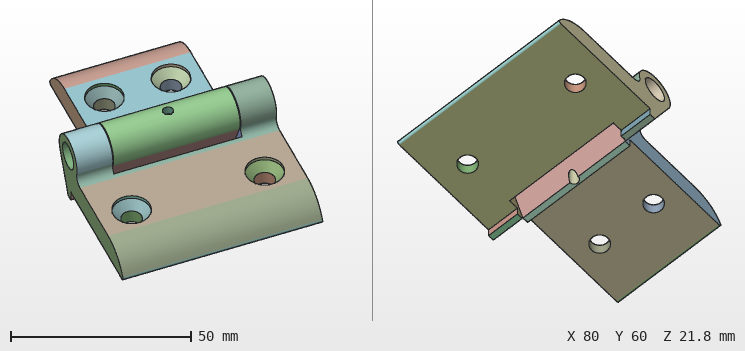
import cadquery as cq
import math

half_span = 40.0
plate_thickness = 7.7
edge_arc_radius = 12.0
nose_radius = 0.8
lug_half_width = 2.0
lug_depth = 3.0

barrel_radius = 6.5
barrel_axis_height = 12.3
bore_diameter = 8.0
neck_fillet_radius = 2.5
oil_hole_diameter = 3.0

wide_leaf_length = 60.0
narrow_leaf_length = 38.0
end_gap = 0.25

recess_wall_x = 5.25
recess_wall_tilt = 15.0

screw_diameter = 6.0
head_diameter = 11.0
head_rim_depth = 1.0
cone_depth = (head_diameter - screw_diameter) / 2
screw_x = 22.0
wide_leaf_screw_y = 20.0
narrow_leaf_screw_y = 10.0

barrel_top = barrel_axis_height + barrel_radius


def point_on_arc(center, radius, angle):
    """Point at the given angle (radians from +X towards +Z) on an arc."""
    return (
        center[0] + radius * math.cos(angle),
        center[1] + radius * math.sin(angle),
    )


def leaf_body(length):
    """Leaf extending to +X with a full-length barrel, centred on y = 0."""
    axis = (0, barrel_axis_height)
    flank_tilt = math.asin(barrel_radius / (barrel_axis_height + lug_depth))
    flank_end = point_on_arc(axis, barrel_radius, math.pi + flank_tilt)

    neck_z = plate_thickness + neck_fillet_radius
    neck_reach = barrel_radius + neck_fillet_radius
    neck_drop = math.asin((barrel_axis_height - neck_z) / neck_reach)
    neck_center = (neck_reach * math.cos(neck_drop), neck_z)
    barrel_end = point_on_arc(axis, barrel_radius, -neck_drop)
    neck_start_angle = math.pi - neck_drop
    neck_end_angle = 1.5 * math.pi
    neck_mid = point_on_arc(neck_center, neck_fillet_radius, (neck_start_angle + neck_end_angle) / 2)

    nose_center = (half_span - nose_radius, nose_radius)
    edge_z = plate_thickness - edge_arc_radius
    nose_angle = math.asin((nose_radius - edge_z) / (edge_arc_radius - nose_radius))
    edge_x = nose_center[0] - (edge_arc_radius - nose_radius) * math.cos(nose_angle)
    edge_center = (edge_x, edge_z)
    edge_mid = point_on_arc(edge_center, edge_arc_radius, (nose_angle + math.pi / 2) / 2)
    edge_end = point_on_arc(edge_center, edge_arc_radius, nose_angle)

    return (
        cq.Workplane("XZ")
        .moveTo(0, -lug_depth)
        .lineTo(*flank_end)
        .threePointArc((0, barrel_top), barrel_end)
        .threePointArc(neck_mid, (neck_center[0], plate_thickness))
        .lineTo(edge_x, plate_thickness)
        .threePointArc(edge_mid, edge_end)
        .threePointArc((half_span, nose_radius), (nose_center[0], 0))
        .lineTo(lug_half_width, 0)
        .lineTo(lug_half_width, -lug_depth)
        .close()
        .extrude(length / 2, both=True)
    )


def barrel_bore():
    """Pin bore through the whole length of the hinge."""
    return (
        cq.Workplane("XZ")
        .center(0, barrel_axis_height)
        .circle(bore_diameter / 2)
        .extrude(wide_leaf_length / 2, both=True)
    )


def screw_holes(x, y):
    """Two countersunk holes at (x, +y) and (x, -y), each with a short straight rim."""
    cone_top = plate_thickness - head_rim_depth
    cone_bottom = cone_top - cone_depth
    hole = (
        cq.Workplane("XZ")
        .polyline(
            [
                (0, 0),
                (screw_diameter / 2, 0),
                (screw_diameter / 2, cone_bottom),
                (head_diameter / 2, cone_top),
                (head_diameter / 2, plate_thickness),
                (0, plate_thickness),
            ]
        )
        .close()
        .revolve(360, (0, 0), (0, 1))
    )
    return hole.translate((x, y, 0)).union(hole.translate((x, -y, 0)))


def barrel_recess():
    """Space in the wide leaf for the middle barrel, with a sloping back wall."""
    slope = math.tan(math.radians(recess_wall_tilt))
    wall_bottom_x = recess_wall_x - lug_depth * slope
    wall_top_x = recess_wall_x + barrel_top * slope
    return (
        cq.Workplane("XZ")
        .polyline(
            [
                (-barrel_radius, -lug_depth),
                (wall_bottom_x, -lug_depth),
                (wall_top_x, barrel_top),
                (-barrel_radius, barrel_top),
            ]
        )
        .close()
        .extrude(narrow_leaf_length / 2 + end_gap, both=True)
    )


def oil_hole():
    """Vertical hole through the middle of the barrel and the lug below it."""
    return (
        cq.Workplane("XY", origin=(0, 0, -lug_depth))
        .circle(oil_hole_diameter / 2)
        .extrude(barrel_top + lug_depth)
    )


def make_wide_leaf():
    """Leaf on the +X side, carrying the two outer barrels."""
    leaf = leaf_body(wide_leaf_length).cut(barrel_recess())
    return leaf.cut(barrel_bore()).cut(screw_holes(screw_x, wide_leaf_screw_y))


def make_narrow_leaf():
    """Leaf on the -X side, carrying the middle barrel."""
    leaf = leaf_body(narrow_leaf_length).mirror("YZ")
    leaf = leaf.cut(barrel_bore()).cut(oil_hole())
    return leaf.cut(screw_holes(-screw_x, narrow_leaf_screw_y))


wide_leaf = make_wide_leaf()
narrow_leaf = make_narrow_leaf()

result = cq.Compound.makeCompound([wide_leaf.solids().val(), narrow_leaf.solids().val()])